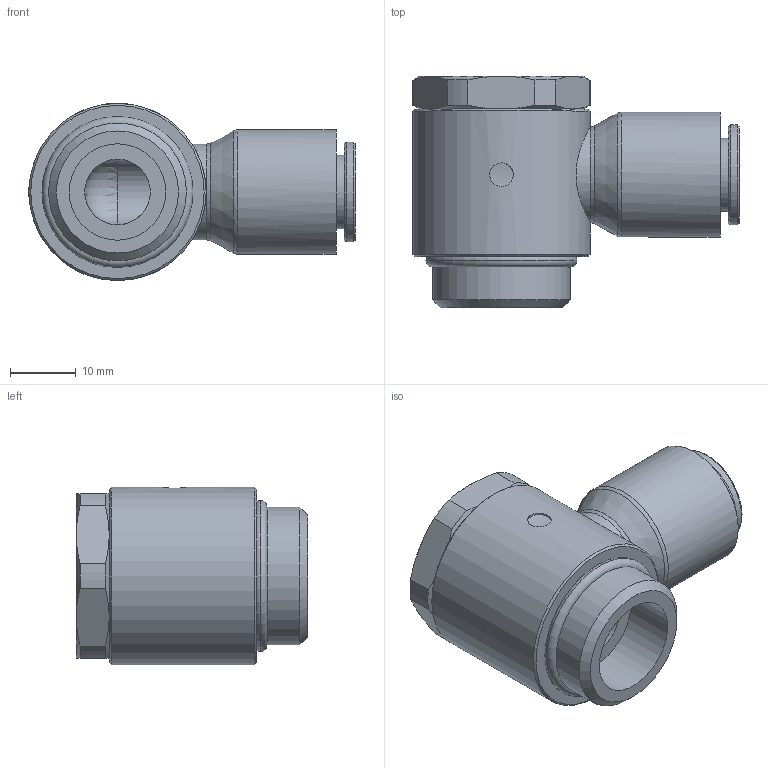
import cadquery as cq
import math


body_radius = 13.5
body_front = -12.45
body_back = 10.0
body_chamfer = 0.3

hex_sides = 6
hex_across_flats = 25.0
hex_back = 15.0
hex_end_radius = hex_across_flats / 2
hex_chamfer_angle = 30.0
hex_corner_chamfer = (body_radius - hex_end_radius) * math.tan(math.radians(hex_chamfer_angle))

spigot_radius = 10.5
spigot_front = -20.25
spigot_chamfer = 1.2

seal_section_radius = 1.0
seal_ring_radius = spigot_radius
seal_offset = 0.6
seal_center = body_front - seal_offset

neck_radius = 7.3
cone_start = 13.84
cone_end = 17.9
cone_blend_radius = 1.3
sleeve_radius = 9.5
sleeve_end = 33.3

collar_radius = 5.6
flange_radius = 7.6
flange_start = 34.5
flange_end = 36.2
flange_inner_chamfer = (0.4, 0.2)
flange_outer_chamfer = (0.3, 0.2)

bore_radius = 5.0
socket_radius = 7.35
socket_depth = 8.0

recess_radius = 1.8
recess_depth = 0.25


def cylinder_y(radius, start, end):
    """Solid cylinder on the Y axis from start to end."""
    return cq.Workplane("XZ", origin=(0, start, 0)).circle(radius).extrude(start - end)


def cylinder_x(radius, start, end):
    """Solid cylinder on the X axis from start to end."""
    return cq.Workplane("YZ", origin=(start, 0, 0)).circle(radius).extrude(end - start)


def make_body():
    return cylinder_y(body_radius, body_front, body_back).edges("%CIRCLE").chamfer(body_chamfer)


def make_hex_head():
    """Hexagon with two flats facing +Z and -Z, its corners turned down and chamfered."""
    corner_diameter = hex_across_flats / math.cos(math.pi / hex_sides)
    hexagon = (
        cq.Workplane("XZ", origin=(0, hex_back, 0))
        .polygon(hex_sides, corner_diameter)
        .extrude(hex_back - body_back)
    )
    turned_profile = [
        (0, body_back),
        (hex_end_radius, body_back),
        (body_radius, body_back + hex_corner_chamfer),
        (body_radius, hex_back - hex_corner_chamfer),
        (hex_end_radius, hex_back),
        (0, hex_back),
    ]
    turned = (
        cq.Workplane("XY")
        .polyline(turned_profile)
        .close()
        .revolve(360, (0, 0, 0), (0, 1, 0))
    )
    return hexagon.intersect(turned)


def make_spigot():
    spigot = cylinder_y(spigot_radius, spigot_front, body_front)
    return spigot.faces("<Y").edges().chamfer(spigot_chamfer)


def make_seal():
    """Round-section ring around the spigot, partly sunk into the body."""
    return (
        cq.Workplane("XY")
        .center(seal_ring_radius, seal_center)
        .circle(seal_section_radius)
        .revolve(360, (-seal_ring_radius, 0, 0), (-seal_ring_radius, 1, 0))
    )


def make_branch():
    """Neck that flares through a blended cone into the tube sleeve."""
    profile = [
        (0, 0),
        (0, neck_radius),
        (cone_start, neck_radius),
        (cone_end, sleeve_radius),
        (sleeve_end, sleeve_radius),
        (sleeve_end, 0),
    ]
    branch = cq.Workplane("XY").polyline(profile).close().revolve(360, (0, 0, 0), (1, 0, 0))
    return branch.faces("%CONE").edges("%CIRCLE").fillet(cone_blend_radius)


def make_release_collar():
    """Thin collar ending in a chamfered flange."""
    inner_length, inner_drop = flange_inner_chamfer
    outer_length, outer_drop = flange_outer_chamfer
    profile = [
        (sleeve_end, 0),
        (sleeve_end, collar_radius),
        (flange_start, collar_radius),
        (flange_start, flange_radius - inner_drop),
        (flange_start + inner_length, flange_radius),
        (flange_end - outer_length, flange_radius),
        (flange_end, flange_radius - outer_drop),
        (flange_end, 0),
    ]
    return cq.Workplane("XY").polyline(profile).close().revolve(360, (0, 0, 0), (1, 0, 0))


def make_passage():
    """Elbow passage: two equal bores joined by a spherical end, with a wider front socket."""
    front_bore = cylinder_y(bore_radius, spigot_front, 0)
    branch_bore = cylinder_x(bore_radius, 0, flange_end)
    elbow = cq.Workplane("XY").sphere(bore_radius)
    socket = cylinder_y(socket_radius, spigot_front, spigot_front + socket_depth)
    return front_bore.union(branch_bore).union(elbow).union(socket)


def make_marking_recess():
    """Round recess whose floor follows the curve of the body."""
    punch = cq.Workplane("XY").circle(recess_radius).extrude(body_radius)
    floor = cylinder_y(body_radius - recess_depth, body_front, body_back)
    return punch.cut(floor)


result = (
    make_body()
    .union(make_hex_head())
    .union(make_spigot())
    .union(make_seal())
    .union(make_branch())
    .union(make_release_collar())
    .cut(make_passage())
    .cut(make_marking_recess())
)